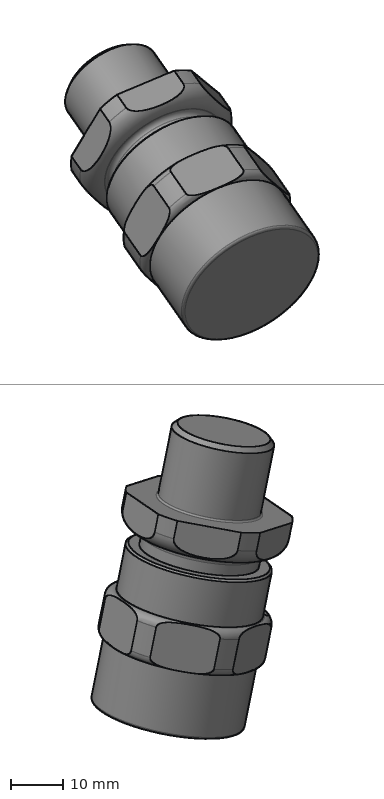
import cadquery as cq
import math


total_length = 57.3
hex_across_flats = 30.0
hex_corner_diameter = 32.5

entry_hex_start = 14.9
entry_hex_end = 21.95
nut_start = 25.2
nut_hex_start = 34.7
nut_hex_end = 44.3

spigot_diameter = 20.0
spigot_chamfer = 1.0
spigot_fillet = 0.37
entry_hex_rounding = 3.45
neck_diameter = 23.3
neck_fillet = 1.05

skirt_diameter = 28.55
skirt_chamfer_length = 0.4
skirt_chamfer_depth = 0.5
nut_hex_rounding = 1.7
barrel_diameter = 29.85
barrel_fillet = 0.5

neck_end = nut_hex_start


def cylinder(start, end, diameter):
    """Solid cylinder on the X axis between two stations."""
    return cq.Workplane("YZ", origin=(start, 0, 0)).circle(diameter / 2).extrude(end - start)


def hexagon(start, end):
    """Hexagonal prism with flats facing +Z and -Z and sharp corners."""
    across_corners = hex_across_flats / math.cos(math.pi / 6)
    return cq.Workplane("YZ", origin=(start, 0, 0)).polygon(6, across_corners).extrude(end - start)


def rounded_disc(start, end, rounded_ends):
    """Disc as wide as the hexagon corners, with the rim rounded at the chosen ends.

    rounded_ends maps an end selector to the rounding radius there.
    """
    disc = cylinder(start, end, hex_corner_diameter)
    for selector, radius in rounded_ends.items():
        disc = disc.faces(selector).edges().fillet(radius)
    return disc


def wrench_hex(start, end, rounded_ends):
    """Hexagon with truncated corners and rounded rims."""
    return hexagon(start, end).intersect(rounded_disc(start, end, rounded_ends))


def make_entry_body():
    """Closed spigot, wrench hexagon and plug-in neck, blended where they meet."""
    spigot_radius = spigot_diameter / 2
    neck_radius = neck_diameter / 2
    diagonal = math.sqrt(0.5)

    spigot = (
        cq.Workplane("XY")
        .moveTo(0, 0)
        .lineTo(0, spigot_radius - spigot_chamfer)
        .lineTo(spigot_chamfer, spigot_radius)
        .lineTo(entry_hex_start - spigot_fillet, spigot_radius)
        .threePointArc(
            (
                entry_hex_start - spigot_fillet * (1 - diagonal),
                spigot_radius + spigot_fillet * (1 - diagonal),
            ),
            (entry_hex_start, spigot_radius + spigot_fillet),
        )
        .lineTo(entry_hex_start, 0)
        .close()
        .revolve(360, (0, 0, 0), (1, 0, 0))
    )

    neck = (
        cq.Workplane("XY")
        .moveTo(entry_hex_end, 0)
        .lineTo(entry_hex_end, neck_radius + neck_fillet)
        .threePointArc(
            (
                entry_hex_end + neck_fillet * (1 - diagonal),
                neck_radius + neck_fillet * (1 - diagonal),
            ),
            (entry_hex_end + neck_fillet, neck_radius),
        )
        .lineTo(neck_end, neck_radius)
        .lineTo(neck_end, 0)
        .close()
        .revolve(360, (0, 0, 0), (1, 0, 0))
    )

    wrench = wrench_hex(entry_hex_start, entry_hex_end, {">X": entry_hex_rounding})
    return wrench.union(spigot).union(neck)


def make_gland_nut():
    """Skirt, wrench hexagon and barrel, with a recess for the neck."""
    skirt = (
        cylinder(nut_start, nut_hex_start, skirt_diameter)
        .faces("<X")
        .edges()
        .chamfer(skirt_chamfer_length, skirt_chamfer_depth)
    )
    wrench = wrench_hex(nut_hex_start, nut_hex_end, {"<X": nut_hex_rounding, ">X": nut_hex_rounding})
    barrel = cylinder(nut_hex_start + nut_hex_rounding, total_length, barrel_diameter)
    barrel = barrel.faces(">X").edges().fillet(barrel_fillet)
    neck_recess = cylinder(nut_start, neck_end, neck_diameter)
    return wrench.union(skirt).union(barrel).cut(neck_recess)


entry_body = make_entry_body()
gland_nut = make_gland_nut()

result = cq.Compound.makeCompound([entry_body.val(), gland_nut.val()])